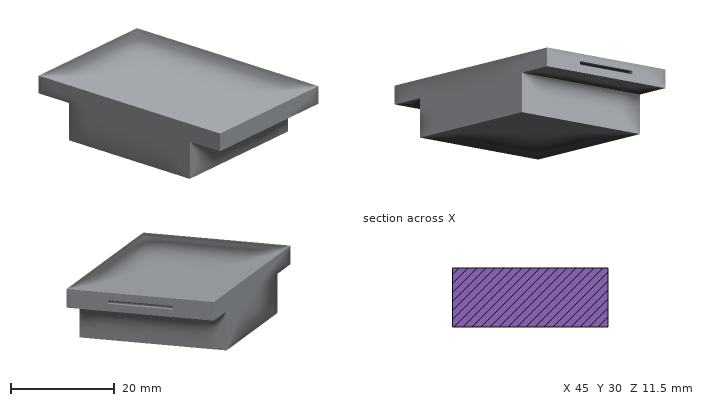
import cadquery as cq

length = 45.0
width = 30.0
height = 11.5

plate_thickness = 3.7
block_length = 30.0
block_height = height - plate_thickness

slot_width = 13.3
slot_height = 0.7
slot_depth = 2.0


def make_block():
    """Lower block, centred in X and Y with its bottom at Z = 0."""
    return cq.Workplane("XY").box(block_length, width, block_height, centered=(True, True, False))


def make_plate():
    """Plate resting on the block."""
    plate = cq.Workplane("XY").box(length, width, plate_thickness, centered=(True, True, False))
    return plate.translate((0, 0, block_height))


def make_slot():
    """Cutter for the slot, reaching inward from the -X end face."""
    plate_middle = block_height + plate_thickness / 2
    slot = cq.Workplane("XY").box(slot_depth, slot_width, slot_height, centered=(False, True, True))
    return slot.translate((-length / 2, 0, plate_middle))


result = make_block().union(make_plate()).cut(make_slot())